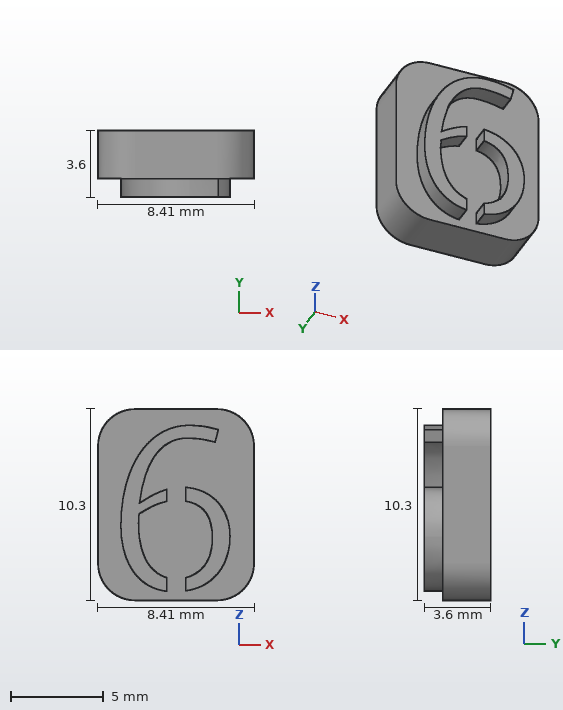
import cadquery as cq

plate_width = 8.41
plate_height = 10.31
corner_radius = 2.0
total_depth = 3.6
numeral_depth = 1.0
plate_depth = total_depth - numeral_depth

gap_left = -0.5
gap_right = 0.54
bowl_inner_top = 0.19
bowl_inner_bottom = -3.93
left_foot = -4.66
right_foot = -4.63

outer_apex = (0.73, 4.28)
outer_left = (-2.97, -1.13)
tip_top = (2.28, 4.04)
tip_bottom = (2.1, 3.37)
inner_apex = (0.63, 3.59)
crotch = (-1.97, 0.08)
bowl_corner = (-1.99, -0.5)
bowl_left = (-2.02, -0.99)
branch_top = 0.82

bowl_top = 0.94
bowl_outer_right = (2.91, -1.7)
bowl_inner_right = (1.96, -1.77)


def curve(sketch, *points):
    """Continue the outline with a Bezier curve; the last point is its end."""
    return sketch.bezier(points, includeCurrent=True)


def front_plane():
    """Sketch plane on the plate's front face, with its normal along -Y."""
    return cq.Workplane("XZ", origin=(0, -plate_depth, 0))


def make_plate():
    plate = cq.Workplane("XZ").rect(plate_width, plate_height).extrude(plate_depth)
    return plate.edges("|Y").fillet(corner_radius)


def make_stem():
    """Tall stroke with the left half of the bowl and its short branch."""
    outline = front_plane().moveTo(*tip_top)
    outline = curve(outline, (1.5, 4.28), outer_apex)
    outline = curve(outline, (-1.55, 4.28), (-2.97, 1.96), outer_left)
    outline = curve(outline, (-2.97, -3.09), (-2.06, -4.48), (gap_left, left_foot))
    outline = outline.lineTo(gap_left, bowl_inner_bottom)
    outline = curve(outline, (-1.5, -3.63), (-2.02, -2.58), bowl_left)
    outline = outline.lineTo(*bowl_corner)
    outline = curve(outline, (-1.24, 0.02), (gap_left, bowl_inner_top))
    outline = outline.lineTo(gap_left, branch_top)
    outline = curve(outline, (-1.13, 0.65), crotch)
    outline = curve(outline, (-1.69, 2.32), (-0.82, 3.59), inner_apex)
    outline = curve(outline, (1.34, 3.59), tip_bottom)
    return outline.close().extrude(numeral_depth)


def make_bowl():
    """Right half of the bowl, beyond the stencil gap."""
    outline = front_plane().moveTo(gap_right, bowl_top)
    outline = curve(outline, (2.01, 0.8), (2.91, -0.26), bowl_outer_right)
    outline = curve(outline, (2.91, -3.25), (2.01, -4.43), (gap_right, right_foot))
    outline = outline.lineTo(gap_right, bowl_inner_bottom)
    outline = curve(outline, (1.47, -3.66), (1.96, -2.94), bowl_inner_right)
    outline = curve(outline, (1.96, -0.62), (1.5, 0.02), (gap_right, bowl_inner_top))
    return outline.close().extrude(numeral_depth)


result = make_plate().union(make_stem()).union(make_bowl())